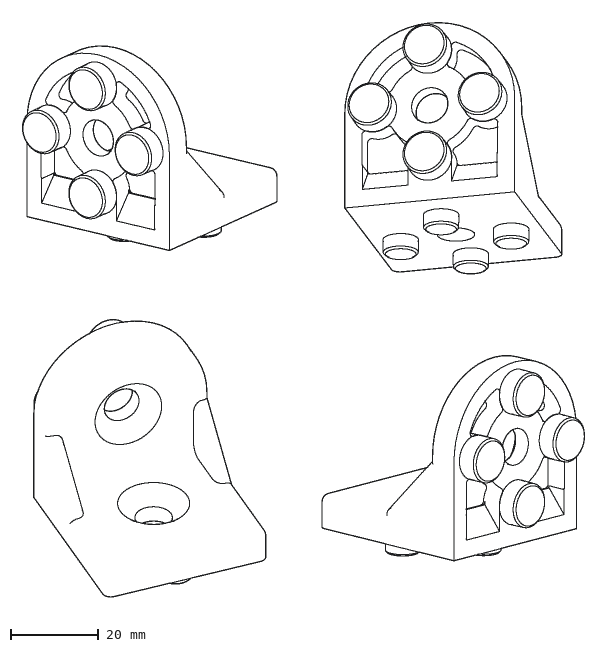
import cadquery as cq
import math

width = 40.0
reach = 43.0
plate_thickness = 8.0
arch_radius = width / 2
hole_offset = reach - arch_radius

corner_round = 2.0
edge_round = corner_round - 0.01
inner_corner_round = 2.95
gusset_width = 2 * edge_round
gusset_reach = 21.95

hole_diameter = 8.5
countersink_diameter = 16.4

peg_spacing = 13.0
peg_draft = 1
peg_end_chamfer = 0.5
wall_peg_diameter = 10.4
wall_peg_length = 4.8
base_peg_diameter = 8.1
base_peg_length = 3.5

rim_width = 4.0
hub_radius = 10.0
boss_radius = 5.1
recess_depth = 5.1
recess_bottom = 9.5
recess_corner_round = 0.95
ramp_bottom = 4.1
ramp_top = recess_bottom + recess_corner_round
ramp_depth = 4.7
ramp_outer_x = 15.85

wall_plane = cq.Workplane("XZ")


def make_plates():
    base = cq.Workplane("XY").box(width, reach, plate_thickness, centered=(True, False, False))
    base = base.edges("|Z and >Y").fillet(corner_round)
    wall = (
        wall_plane.moveTo(-arch_radius, 0)
        .lineTo(-arch_radius, hole_offset)
        .threePointArc((0, reach), (arch_radius, hole_offset))
        .lineTo(arch_radius, 0)
        .close()
        .extrude(-plate_thickness)
    )
    plates = base.union(wall)
    margin = 0.05
    low = plate_thickness - margin
    high = plate_thickness + margin
    inner_corner = cq.selectors.BoxSelector((-margin, low, low), (margin, high, high))
    return plates.edges(inner_corner).fillet(inner_corner_round)


def make_gussets():
    """Square-edged sloping ribs that join the sides of the two plates."""
    profile = [
        (0, 0),
        (gusset_reach, 0),
        (gusset_reach, plate_thickness),
        (plate_thickness, gusset_reach),
        (0, gusset_reach),
    ]
    left = cq.Workplane("YZ", origin=(-arch_radius, 0, 0)).polyline(profile).close().extrude(gusset_width)
    return left.union(left.mirror("YZ"))


def make_gusset_edge_waste():
    """What the rounding of the inner long edges removes from the gussets."""
    triangle = [
        (plate_thickness, plate_thickness),
        (gusset_reach, plate_thickness),
        (plate_thickness, gusset_reach),
    ]
    square = cq.Workplane("YZ", origin=(-arch_radius, 0, 0)).polyline(triangle).close().extrude(gusset_width)
    rounded = square.faces(">X").edges(">(0, 1, 1)").fillet(edge_round)
    left = square.cut(rounded)
    return left.union(left.mirror("YZ"))


def is_exposed_edge(edge):
    """True for the chain of edges along the base top, the gusset slopes and the wall arch."""
    tolerance = 0.005
    box = edge.BoundingBox()
    centre = edge.Center()
    if min(box.ymin, box.zmin) < plate_thickness - tolerance:
        return False
    on_side = abs(centre.x) > arch_radius - tolerance
    return on_side or max(centre.y, centre.z) > hole_offset


def round_exposed_edges(body):
    exposed = [edge for edge in body.edges().vals() if is_exposed_edge(edge)]
    return body.newObject(exposed).fillet(edge_round)


def make_screw_hole(plane):
    """Through hole and countersink on a plane at the inner face of a plate, facing inward."""
    cone_depth = (countersink_diameter - hole_diameter) / 2
    hole = plane.circle(hole_diameter / 2).extrude(-plate_thickness)
    cone = plane.circle(countersink_diameter / 2).workplane(offset=-cone_depth)
    cone = cone.circle(hole_diameter / 2).loft()
    return hole.union(cone)


def peg_positions():
    """Peg centres relative to the hole they surround."""
    return [(0, peg_spacing), (peg_spacing, 0), (0, -peg_spacing), (-peg_spacing, 0)]


def make_recesses():
    inner_half_width = arch_radius - rim_width
    field = (
        wall_plane.moveTo(-inner_half_width, recess_bottom)
        .lineTo(-inner_half_width, hole_offset)
        .threePointArc((0, reach - rim_width), (inner_half_width, hole_offset))
        .lineTo(inner_half_width, recess_bottom)
        .close()
        .extrude(-recess_depth)
    )
    wall_centre = wall_plane.center(0, hole_offset)
    hub = wall_centre.circle(hub_radius).extrude(-recess_depth)
    bosses = wall_centre.pushPoints(peg_positions()).circle(boss_radius).extrude(-recess_depth)
    return field.cut(hub).cut(bosses).edges("|Y").fillet(recess_corner_round)


def make_ramp():
    """Wedge below the right-hand lower recess, deepest at the recess."""
    return (
        cq.Workplane("YZ", origin=(boss_radius, 0, 0))
        .polyline([(0, ramp_bottom), (0, ramp_top), (ramp_depth, ramp_top), (ramp_depth, recess_bottom)])
        .close()
        .extrude(ramp_outer_x - boss_radius)
    )


def make_bracket():
    bracket = round_exposed_edges(make_plates().union(make_gussets()))
    bracket = bracket.cut(make_gusset_edge_waste())
    base_inner = cq.Workplane("XY", origin=(0, hole_offset, plate_thickness))
    wall_inner = cq.Workplane("XZ", origin=(0, plate_thickness, hole_offset)).transformed(rotate=(180, 0, 0))
    for plane in (base_inner, wall_inner):
        bracket = bracket.cut(make_screw_hole(plane))
    ramp = make_ramp()
    return bracket.cut(make_recesses()).cut(ramp).cut(ramp.mirror("YZ"))


def make_peg(diameter, length):
    """Slightly tapered peg below the origin, with a chamfered free end."""
    foot_radius = diameter / 2
    chamfer_start = length - peg_end_chamfer
    shoulder_radius = foot_radius - chamfer_start * math.tan(math.radians(peg_draft))
    return (
        cq.Workplane("XZ")
        .lineTo(foot_radius, 0)
        .lineTo(shoulder_radius, -chamfer_start)
        .lineTo(shoulder_radius - peg_end_chamfer, -length)
        .lineTo(0, -length)
        .close()
        .revolve(360, (0, 0), (0, 1))
    )


bracket = make_bracket()
base_peg = make_peg(base_peg_diameter, base_peg_length)
wall_peg = make_peg(wall_peg_diameter, wall_peg_length).rotate((0, 0, 0), (1, 0, 0), -90)
base_pegs = []
wall_pegs = []
for across, along in peg_positions():
    base_pegs.append(base_peg.translate((across, hole_offset + along, 0)).val())
    wall_pegs.append(wall_peg.translate((across, 0, hole_offset + along)).val())

result = cq.Compound.makeCompound([bracket.val(), *base_pegs, *wall_pegs])